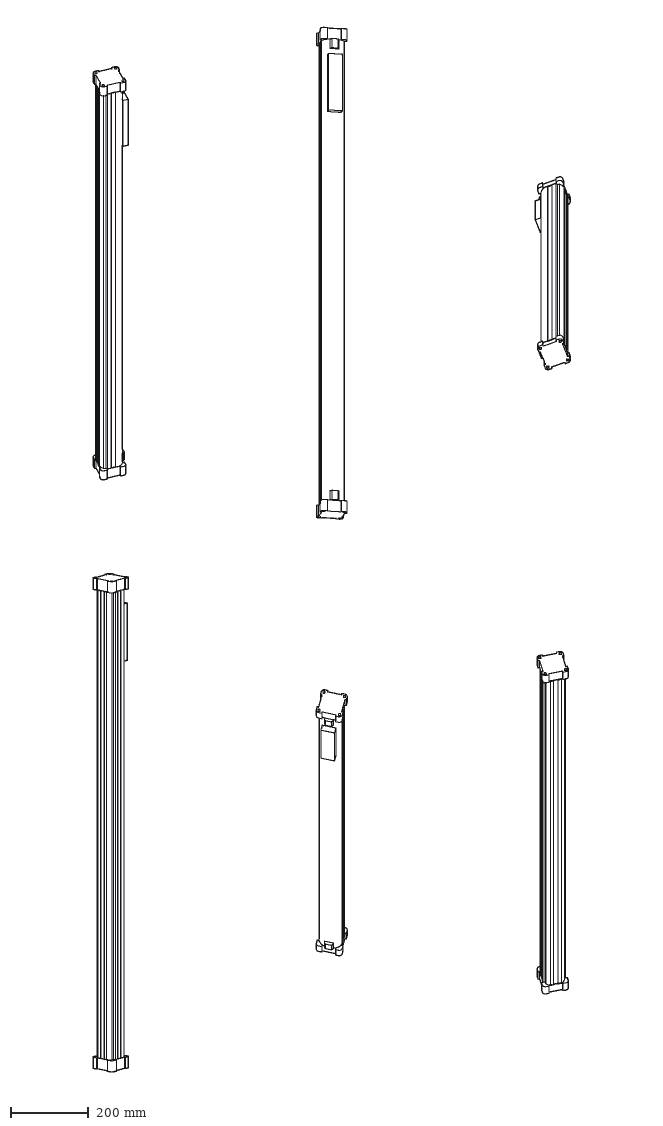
import cadquery as cq

LENGTH = 1300.0
TOTAL_DEPTH = 79.0
CAP_WIDTH = 69.0
CAP_HEIGHT = 30.0

PROFILE_WIDTH = 60.0
FRONT_RISE = 3.4
PROFILE_FRONT_Y = -(PROFILE_WIDTH / 2 + FRONT_RISE)
PROFILE_BACK_Y = PROFILE_WIDTH / 2
PROFILE_BOTTOM_Z = CAP_HEIGHT
PROFILE_TOP_Z = LENGTH - CAP_HEIGHT
FLAT_WIDTH = 30.0
BACK_CORNER_RADIUS = 40.0 / 2

FRONT_CORNER_RADIUS = 40.0
FLANK_FRONT_Y = -17.0
FLANK_STEP_X = 26.0
FLANK_STEP_Y = -20.0
FRONT_RIDGE_X = 25.0
FRONT_RIDGE_Y = -25.0

SLOT_WIDTH = 12.0
SLOT_DEPTH = 1.0

BLOCK_WIDTH = 36.0
BLOCK_BACK_Y = TOTAL_DEPTH - CAP_WIDTH / 2
BLOCK_LENGTH = 152.0
BLOCK_TOP_GAP = 73.0

TAB_WIDTH = 23.0
TAB_LENGTH = 25.0
TAB_HEIGHT = 8.0
TAB_CHAMFER = 4.0

CAP_RECESS_DEPTH = 4.0
CAP_RECESS_WIDTH = 36.0
LOBE_RADIUS = 8.0
SCREW_HOLE_SPACING = 55.0
SCREW_HOLE_DIAMETER = 6.0
SCREW_HOLE_DEPTH = 12.0


def long_bar(width, depth, bottom_z=PROFILE_BOTTOM_Z, top_z=PROFILE_TOP_Z):
    """Upright rectangular bar centred on the Z axis."""
    return cq.Workplane("XY", origin=(0, 0, bottom_z)).rect(width, depth).extrude(top_z - bottom_z)


def make_block():
    """Block that stands on the back of the profile near its top."""
    top_z = LENGTH - BLOCK_TOP_GAP
    height = BLOCK_BACK_Y - PROFILE_BACK_Y
    block = long_bar(BLOCK_WIDTH, height, top_z - BLOCK_LENGTH, top_z)
    return block.translate((0, PROFILE_BACK_Y + height / 2, 0))


def make_tab(bottom_z):
    """Tab on the back of the profile with two bevelled outer edges."""
    tab = long_bar(TAB_WIDTH, TAB_HEIGHT, bottom_z, bottom_z + TAB_LENGTH)
    tab = tab.faces(">Y").edges("|Z").chamfer(TAB_CHAMFER)
    return tab.translate((0, PROFILE_BACK_Y + TAB_HEIGHT / 2, 0))


def make_profile_body():
    """Solid bar with rounded back corners and stepped front corners."""
    flank_x = PROFILE_WIDTH / 2
    flat_x = FLAT_WIDTH / 2
    return (
        cq.Workplane("XY", origin=(0, 0, PROFILE_BOTTOM_Z))
        .moveTo(flat_x, PROFILE_FRONT_Y)
        .radiusArc((FRONT_RIDGE_X, FRONT_RIDGE_Y), -FRONT_CORNER_RADIUS)
        .lineTo(FLANK_STEP_X, FLANK_STEP_Y)
        .lineTo(flank_x, FLANK_FRONT_Y)
        .lineTo(flank_x, flat_x)
        .radiusArc((flat_x, PROFILE_BACK_Y), -BACK_CORNER_RADIUS)
        .lineTo(-flat_x, PROFILE_BACK_Y)
        .radiusArc((-flank_x, flat_x), -BACK_CORNER_RADIUS)
        .lineTo(-flank_x, FLANK_FRONT_Y)
        .lineTo(-FLANK_STEP_X, FLANK_STEP_Y)
        .lineTo(-FRONT_RIDGE_X, FRONT_RIDGE_Y)
        .radiusArc((-flat_x, PROFILE_FRONT_Y), -FRONT_CORNER_RADIUS)
        .close()
        .extrude(PROFILE_TOP_Z - PROFILE_BOTTOM_Z)
    )


def make_profile():
    body = make_profile_body()

    front_slot = long_bar(SLOT_WIDTH, 2 * SLOT_DEPTH).translate((0, PROFILE_FRONT_Y, 0))
    body = body.cut(front_slot)
    for side in (-1, 1):
        flank_slot = long_bar(2 * SLOT_DEPTH, SLOT_WIDTH)
        body = body.cut(flank_slot.translate((side * PROFILE_WIDTH / 2, 0, 0)))

    body = body.union(make_block())
    for tab_bottom_z in (PROFILE_BOTTOM_Z, PROFILE_TOP_Z - TAB_LENGTH):
        body = body.union(make_tab(tab_bottom_z))
    return body


def make_bottom_cap():
    """End cap with its outer face at z = 0."""
    cap = long_bar(CAP_WIDTH, CAP_WIDTH, 0, CAP_HEIGHT).edges("|Z").fillet(LOBE_RADIUS)

    recess = long_bar(CAP_RECESS_WIDTH, 2 * CAP_RECESS_DEPTH, 0, CAP_HEIGHT)
    recess = recess.translate((0, CAP_WIDTH / 2, 0))
    for angle in (0, 90, 180, 270):
        cap = cap.cut(recess.rotate((0, 0, 0), (0, 0, 1), angle))

    screw_holes = (
        cq.Workplane("XY")
        .rect(SCREW_HOLE_SPACING, SCREW_HOLE_SPACING, forConstruction=True)
        .vertices()
        .circle(SCREW_HOLE_DIAMETER / 2)
        .extrude(SCREW_HOLE_DEPTH)
    )
    return cap.cut(screw_holes)


profile = make_profile()
bottom_cap = make_bottom_cap()
top_cap = bottom_cap.mirror("XY").translate((0, 0, LENGTH))

result = cq.Compound.makeCompound([profile.val(), bottom_cap.val(), top_cap.val()])